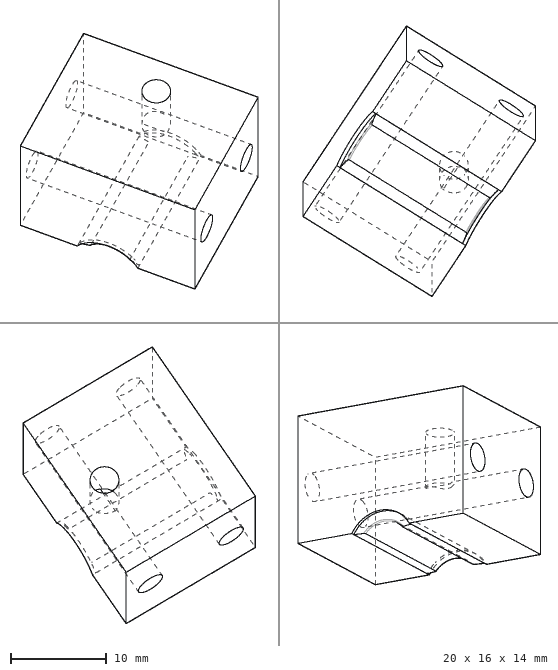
import cadquery as cq

LENGTH = 20.0
WIDTH = 16.0
HEIGHT = 14.0

BORE_DIAMETER = 3.0
BORE_SPACING = 10.0

TOP_HOLE_DIAMETER = 3.0
TOP_HOLE_DEPTH = 6.0
TOP_HOLE_Y = 4.3

GROOVE_AXIS_DROP = 2.0
GROOVE_RADIUS = 4.0
AXIS_Z = -HEIGHT / 2 - GROOVE_AXIS_DROP

BUSHING_INNER_RADIUS = 3.0
BUSHING_RECESS = 0.4
BUSHING_DISH_DEPTH = 0.25
BUSHING_ROUNDING = 0.15


def make_bores():
    """Cylinders that cut the two cross bores."""
    return (
        cq.Workplane("YZ", origin=(-LENGTH / 2, 0, 0))
        .pushPoints([(-BORE_SPACING / 2, 0), (BORE_SPACING / 2, 0)])
        .circle(BORE_DIAMETER / 2)
        .extrude(LENGTH)
    )


def make_top_hole():
    """Flat-bottomed cylinder that cuts the blind hole from the top."""
    return (
        cq.Workplane("XY", origin=(0, TOP_HOLE_Y, HEIGHT / 2))
        .circle(TOP_HOLE_DIAMETER / 2)
        .extrude(-TOP_HOLE_DEPTH)
    )


def make_groove():
    """Cylinder along Y that cuts the groove in the underside."""
    return (
        cq.Workplane("XZ", origin=(0, WIDTH / 2, AXIS_Z))
        .circle(GROOVE_RADIUS)
        .extrude(WIDTH)
    )


def make_block():
    """Rectangular block with its bores, top hole and groove."""
    block = cq.Workplane("XY").box(LENGTH, WIDTH, HEIGHT)
    return block.cut(make_bores()).cut(make_top_hole()).cut(make_groove())


def make_bushing():
    """Sleeve along Y with dished, rounded ends, kept only above the underside of the block."""
    rim_y = WIDTH / 2 - BUSHING_RECESS
    corner_y = rim_y - BUSHING_DISH_DEPTH
    sleeve = (
        cq.Workplane("XY", origin=(0, 0, AXIS_Z))
        .moveTo(BUSHING_INNER_RADIUS, -corner_y)
        .lineTo(GROOVE_RADIUS, -rim_y)
        .lineTo(GROOVE_RADIUS, rim_y)
        .lineTo(BUSHING_INNER_RADIUS, corner_y)
        .close()
        .revolve(360, (0, 0, 0), (0, 1, 0))
    )
    bore_edges = cq.selectors.RadiusNthSelector(0)
    sleeve = sleeve.edges("%CIRCLE").edges(bore_edges).fillet(BUSHING_ROUNDING)
    return sleeve.intersect(cq.Workplane("XY").box(LENGTH, WIDTH, HEIGHT))


block = make_block()
bushing = make_bushing()

result = cq.Compound.makeCompound([block.val(), *bushing.vals()])